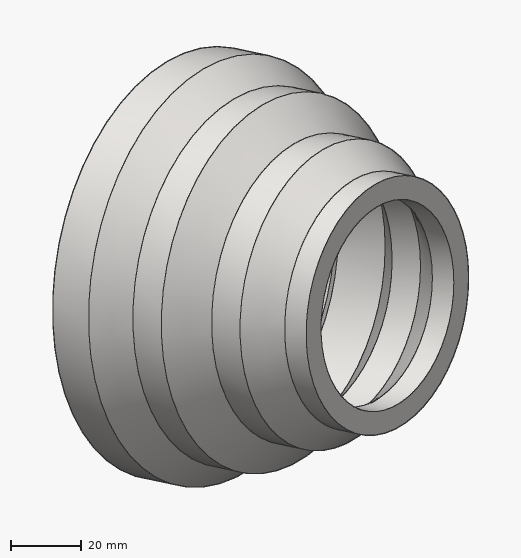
import cadquery as cq

length = 72.0
collar_length = 13.0
step_length = 10.2
bore_lead_length = 3.5

outer_radii = [62.5, 55.1, 45.0, 37.5]
bore_radii = [51.0, 48.1, 38.2, 30.6]

outer_cones = [step_length, step_length, step_length]
bore_cones = [bore_lead_length, step_length, step_length]


def revolved(radii, cone_lengths):
    """Straight stretches joined by cones, revolved about the X axis."""
    points = [(0, 0), (0, radii[0])]
    cone_start = collar_length
    for wide, narrow, cone_length in zip(radii, radii[1:], cone_lengths):
        points.append((cone_start, wide))
        points.append((cone_start + cone_length, narrow))
        cone_start += 2 * step_length
    points += [(length, radii[-1]), (length, 0)]
    profile = cq.Workplane("XY").polyline(points).close()
    return profile.revolve(360, (0, 0, 0), (1, 0, 0))


body = revolved(outer_radii, outer_cones)
bore = revolved(bore_radii, bore_cones)
result = body.cut(bore)